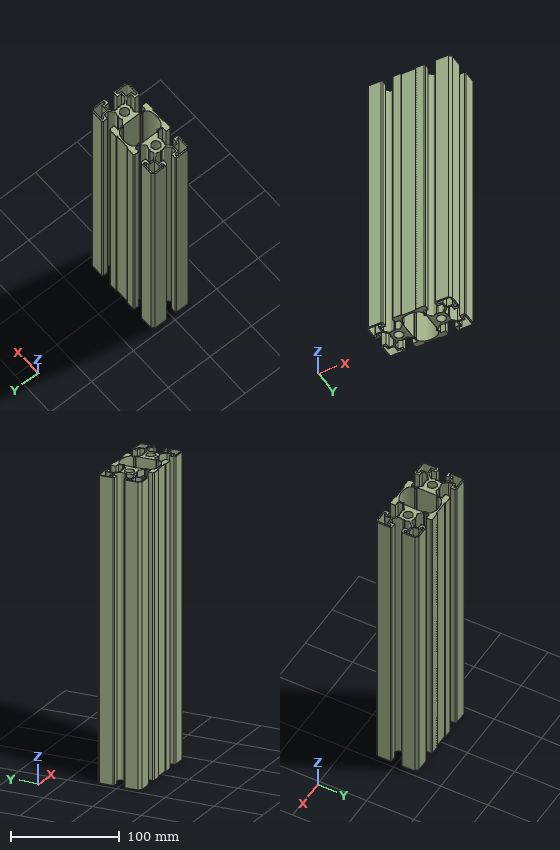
import cadquery as cq
import math

length = 304.8
width = 90.0
depth = width / 2
module_half = depth / 2
outer_chamfer = 2.7

slot_half = 5.0
lip_chamfer = 1.2
lip_depth = 6.0
cavity_half = 10.0
cavity_top = module_half - lip_depth

core_radius = 8.0
bore_radius = 4.5
groove_half = 1.0
groove_depth = 1.0
web_half = 1.0
web_fillet = 1.8

wall = 1.5
chamber_outer = module_half - wall
chamber_inner = cavity_half + wall
lip_floor = 1.8
chamber_lip = cavity_top + lip_floor
lip_wall = 2.5
chamber_end = slot_half + lip_wall
chamber_end_chamfer = 1.2
chamber_corner_radius = 1.5

center_half_x = module_half - cavity_half
center_radius = 19.8
center_corner_radius = 6.0
neck_wall = 1.0
neck_half_x = center_half_x - neck_wall
bulge_half_y = 11.3
bead_y = 11.5
bead_radius = 1.0

recess_half = 7.5
recess_depth = 1.0


def from_diagonal(along, offset):
    """Convert a position along and left of the 45 degree diagonal to x and y."""
    return ((along - offset) / math.sqrt(2), (along + offset) / math.sqrt(2))


def arc_middle(center, radius, start, end):
    """Middle point of the shorter arc between start and end."""
    toward_x = (start[0] + end[0]) / 2 - center[0]
    toward_y = (start[1] + end[1]) / 2 - center[1]
    reach = radius / math.hypot(toward_x, toward_y)
    return (center[0] + toward_x * reach, center[1] + toward_y * reach)


def mirrored(point):
    """Reflect a point in the Y axis."""
    return (-point[0], point[1])


def slot_cutter():
    """Upward-facing T-slot of a module centred on the origin."""
    fillet_offset = web_half + web_fillet
    fillet_along = math.sqrt((core_radius + web_fillet) ** 2 - fillet_offset**2)
    core_share = core_radius / (core_radius + web_fillet)
    web_end = from_diagonal(fillet_along, web_half)
    core_end = from_diagonal(fillet_along * core_share, fillet_offset * core_share)
    fillet_center = from_diagonal(fillet_along, fillet_offset)
    fillet_middle = arc_middle(fillet_center, web_fillet, web_end, core_end)

    groove_edge = (groove_half, math.sqrt(core_radius**2 - groove_half**2))
    core_middle = arc_middle((0, 0), core_radius, core_end, groove_edge)

    lip_outer = (slot_half + lip_chamfer, module_half)
    lip_inner = (slot_half, module_half - lip_chamfer)
    lip_bottom = (slot_half, cavity_top)
    cavity_corner = (cavity_half, cavity_top)
    web_start = (cavity_half, cavity_half + web_half * math.sqrt(2))
    return (
        cq.Workplane("XY")
        .moveTo(*lip_outer)
        .lineTo(*lip_inner)
        .lineTo(*lip_bottom)
        .lineTo(*cavity_corner)
        .lineTo(*web_start)
        .lineTo(*web_end)
        .threePointArc(fillet_middle, core_end)
        .threePointArc(core_middle, groove_edge)
        .lineTo(0, core_radius - groove_depth)
        .lineTo(*mirrored(groove_edge))
        .threePointArc(mirrored(core_middle), mirrored(core_end))
        .threePointArc(mirrored(fillet_middle), mirrored(web_end))
        .lineTo(*mirrored(web_start))
        .lineTo(*mirrored(cavity_corner))
        .lineTo(*mirrored(lip_bottom))
        .lineTo(*mirrored(lip_inner))
        .lineTo(*mirrored(lip_outer))
        .close()
        .extrude(length)
    )


def chamber_cutter():
    """Hollow of the corner at +X +Y of a module centred on the origin."""
    cut_end = chamber_end + chamber_end_chamfer
    half_branch = [
        (chamber_inner, chamber_inner),
        (chamber_inner, chamber_lip),
        (cut_end, chamber_lip),
        (chamber_end, chamber_lip + chamber_end_chamfer),
        (chamber_end, chamber_outer),
        (chamber_outer, chamber_outer),
    ]
    other_branch = [(y, x) for x, y in reversed(half_branch[1:-1])]
    chamber = cq.Workplane("XY").polyline(half_branch + other_branch).close().extrude(length)
    outer_edge = cq.selectors.NearestToPointSelector((chamber_outer, chamber_outer, length / 2))
    return chamber.edges("|Z").edges(outer_edge).fillet(chamber_corner_radius)


def center_cutter():
    """Central chamber: round at both ends, narrowed beside the slots, wider between the cores."""
    sides = cq.Workplane("XY").rect(2 * neck_half_x, 2 * center_radius).extrude(length)
    rounded = cq.Workplane("XY").circle(center_radius).extrude(length).intersect(sides)
    rounded = rounded.edges("|Z").fillet(center_corner_radius)
    bulge = cq.Workplane("XY").rect(2 * center_half_x, 2 * bulge_half_y).extrude(length)
    bulge = bulge.edges("|Z").chamfer(neck_wall)
    beads = (
        cq.Workplane("XY")
        .rect(2 * neck_half_x, 2 * bead_y, forConstruction=True)
        .vertices()
        .circle(bead_radius)
        .extrude(length)
    )
    return rounded.union(bulge).cut(beads)


def recess_cutter():
    """Shallow recesses in the middle of both wide faces."""
    return (
        cq.Workplane("XY")
        .pushPoints([(0, module_half), (0, -module_half)])
        .rect(2 * recess_half, 2 * recess_depth)
        .extrude(length)
    )


def module_cutter():
    """All cuts of the right-hand module, whose inner side faces -X."""
    cutter = cq.Workplane("XY").circle(bore_radius).extrude(length)
    slot = slot_cutter()
    for angle in (0, -90, 180):
        cutter = cutter.add(slot.rotate((0, 0, 0), (0, 0, 1), angle))
    chamber = chamber_cutter()
    for angle in (0, -90):
        cutter = cutter.add(chamber.rotate((0, 0, 0), (0, 0, 1), angle))
    return cutter.combine().translate((module_half, 0, 0))


body = cq.Workplane("XY").rect(width, depth).extrude(length)
body = body.edges("|Z").chamfer(outer_chamfer)
right_module = module_cutter()
body = body.cut(right_module).cut(right_module.mirror("YZ"))
result = body.cut(center_cutter()).cut(recess_cutter())